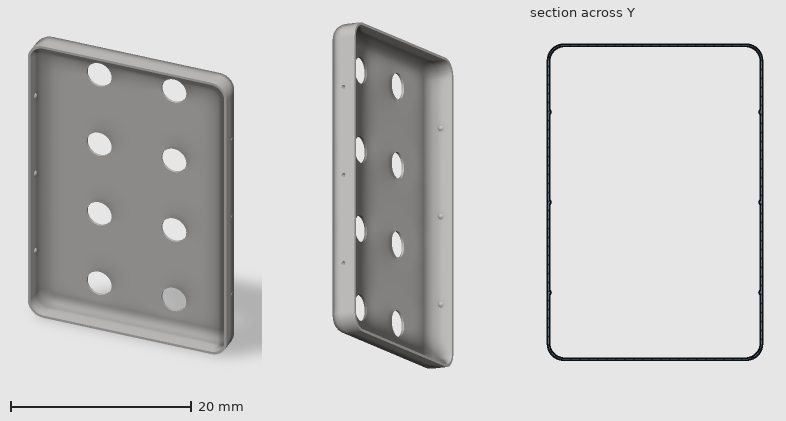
import cadquery as cq
import math

width = 23.9
depth = 3.3
height = 35.1
wall = 0.3
corner_radius = 1.9
edge_radius = 1.4

hole_diameter = 3.0
hole_pitch = 9.0
hole_columns = 2
hole_rows = 4
hole_center_x = -0.15
hole_cut_depth = 3 * wall

dent_radius = 0.228
bump_radius = 0.35
dent_depth = 0.2
dent_pitch = 10.0
dent_from_rim = 1.4

rim_y = -depth / 2
overlap = 0.05


def rounded_block(inset):
    """Block inset from the outer faces, flush at the rim, with its floor edge rounded."""
    block = (
        cq.Workplane("XZ", origin=(0, rim_y, 0))
        .rect(width - 2 * inset, height - 2 * inset)
        .extrude(-(depth - inset))
    )
    block = block.edges("|Y").fillet(corner_radius - inset)
    return block.faces(">Y").edges().fillet(edge_radius - inset)


def dome(side, z, base_x, radius):
    """Spherical cap based at base_x on one side, pointing toward the middle of the tray."""
    sphere_radius = (radius**2 + dent_depth**2) / (2 * dent_depth)
    mid_y = radius / 2
    mid_x = dent_depth - sphere_radius + math.sqrt(sphere_radius**2 - mid_y**2)
    profile = (
        cq.Workplane("XY")
        .moveTo(overlap, 0)
        .lineTo(-dent_depth, 0)
        .threePointArc((-mid_x, mid_y), (0, radius))
        .lineTo(overlap, radius)
        .close()
    )
    cap = profile.revolve(360, (0, 0, 0), (1, 0, 0))
    if side < 0:
        cap = cap.mirror("YZ")
    return cap.translate((side * base_x, rim_y + dent_from_rim, z))


result = rounded_block(0).cut(rounded_block(wall))

holes = (
    cq.Workplane("XZ", origin=(hole_center_x, depth / 2 + wall, 0))
    .rarray(hole_pitch, hole_pitch, hole_columns, hole_rows)
    .circle(hole_diameter / 2)
    .extrude(hole_cut_depth)
)
result = result.cut(holes)

for side in (-1, 1):
    for z in (-dent_pitch, 0, dent_pitch):
        result = result.union(dome(side, z, width / 2 - wall, bump_radius))
        result = result.cut(dome(side, z, width / 2, dent_radius))